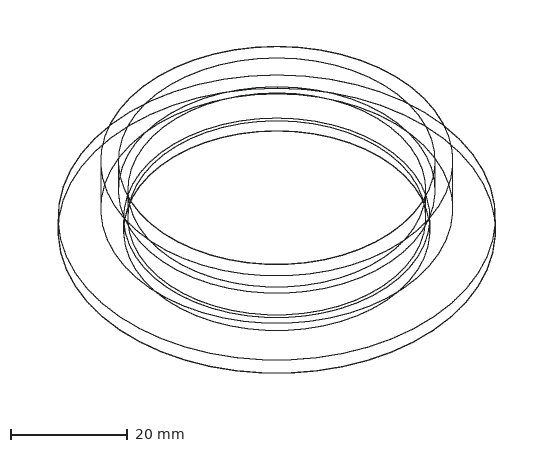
import cadquery as cq

flange_diameter = 74.9
total_height = 15.7

rim_height = 3.0
cone_top_height = 5.0
tube_diameter = 60.3

bore_diameter = 51.0
socket_diameter = 54.25
socket_depth = 6.5
recess_diameter = 52.45
recess_depth = 2.9


def make_body():
    """Revolve the solid outside: flat rim, conical shoulder and tube."""
    flange_radius = flange_diameter / 2
    tube_radius = tube_diameter / 2
    return (
        cq.Workplane("XZ")
        .moveTo(0, 0)
        .lineTo(flange_radius, 0)
        .lineTo(flange_radius, rim_height)
        .lineTo(tube_radius, cone_top_height)
        .lineTo(tube_radius, total_height)
        .lineTo(0, total_height)
        .close()
        .revolve(360, (0, 0, 0), (0, 1, 0))
    )


def make_bore_step(diameter, bottom, height):
    """Cylinder on the Z axis that cuts one step of the bore."""
    return cq.Workplane("XY").workplane(offset=bottom).circle(diameter / 2).extrude(height)


through_bore = make_bore_step(bore_diameter, 0, total_height)
tube_socket = make_bore_step(socket_diameter, total_height - socket_depth, socket_depth)
bottom_recess = make_bore_step(recess_diameter, 0, recess_depth)

result = make_body().cut(through_bore).cut(tube_socket).cut(bottom_recess)